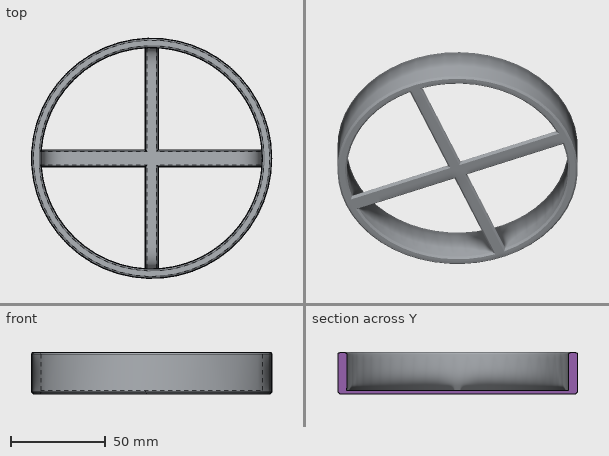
import cadquery as cq
outer_diameter = 127.0
inner_diameter = 117.0
ring_height = 22.0
rim_fillet = 1.0

x_bar_width = 9.0
y_bar_width = 7.0
bar_thickness = 2.0
bar_fillet = 0.8

bottom_chamfer = 1.0

wall_thickness = (outer_diameter - inner_diameter) / 2
bar_length = inner_diameter + wall_thickness


def make_ring():
    """Ring standing on Z = 0, rounded along its top edges and chamfered along its bottom edges."""
    ring = cq.Workplane("XY").circle(outer_diameter / 2).circle(inner_diameter / 2).extrude(ring_height)
    ring = ring.faces(">Z").edges().fillet(rim_fillet)
    return ring.faces("<Z").edges().chamfer(bottom_chamfer)


def make_bar(width):
    """Bar along X, rounded along its upper long edges and chamfered along its lower ones."""
    bar = cq.Workplane("XY").box(bar_length, width, bar_thickness, centered=(True, True, False))
    bar = bar.faces(">Z").edges("|X").fillet(bar_fillet)
    return bar.faces("<Z").edges("|X").chamfer(bottom_chamfer)


x_bar = make_bar(x_bar_width)
y_bar = make_bar(y_bar_width).rotate((0, 0, 0), (0, 0, 1), 90)

result = make_ring().union(x_bar).union(y_bar)